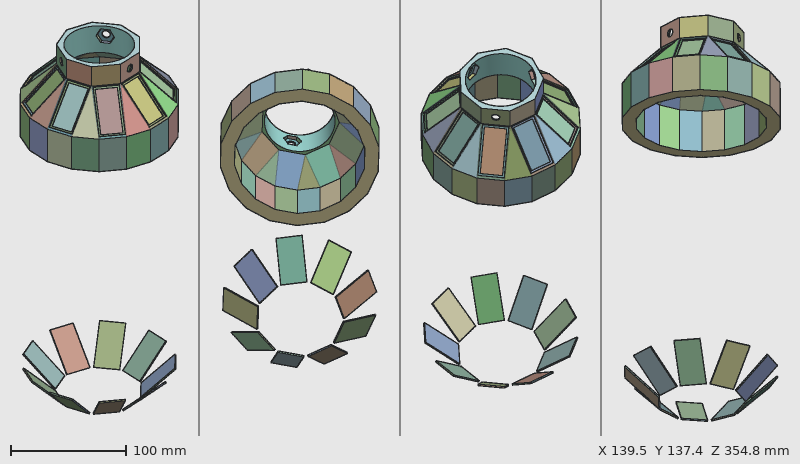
import cadquery as cq
import math

overall_height = 354.8
sides = 9
base_sides = 2 * sides
pitch = 360 / sides
first_panel_angle = -90.0

base_radius = 139.5 / 2
neck_radius = 37.3
base_height = 33.5
shoulder_height = 33.7
neck_height = 20.0
shoulder_top = base_height + shoulder_height
housing_height = shoulder_top + neck_height

bore_diameter = 61.5
bore_depth = 27.3
cavity_radius = 114.5 / 2
cavity_top_radius = 69.0 / 2
cavity_wall_height = 38.5
cavity_height = housing_height - bore_depth

screw_diameter = 7.0
screw_drop = 10.3
screw_count = 3
screw_angle = -10.0
nut_corner_diameter = 16.0
nut_seat_radius = 33.7

panel_width = 23.0
panel_length = 42.0
panel_thickness = 1.5

seat_length = 44.5
seat_rise = 0.7
ledge = 1.8
relief_depth = 0.7

base_flat = base_radius * math.cos(math.pi / base_sides)
neck_flat = neck_radius * math.cos(math.pi / sides)
slope_run = base_flat - neck_flat
slope_angle = math.degrees(math.atan2(shoulder_height, slope_run))
slope_middle_radius = (base_flat + neck_flat) / 2
slope_middle_height = base_height + shoulder_height / 2


def ring(count, radius, height):
    """Corners of a regular polygon whose corners lie half a panel side either side of -Y."""
    start = first_panel_angle - 180 / count
    angles = [math.radians(start + 360 / count * i) for i in range(count)]
    return [cq.Vector(radius * math.cos(a), radius * math.sin(a), height) for a in angles]


def prism(count, radius, bottom, height):
    corners = [(p.x, p.y) for p in ring(count, radius, 0)]
    return cq.Workplane("XY").workplane(offset=bottom).polyline(corners).close().extrude(height)


def polygon_face(corners):
    return cq.Face.makeFromWires(cq.Wire.makePolygon(corners, close=True))


def shoulder(low_radius, low_height, high_radius, high_height):
    """A flat slope below every top side, with a triangle between neighbouring slopes."""
    low = ring(base_sides, low_radius, low_height)
    high = ring(sides, high_radius, high_height)
    faces = [polygon_face(low), polygon_face(high)]
    for i in range(sides):
        left, right = low[2 * i], low[2 * i + 1]
        next_left = low[(2 * i + 2) % base_sides]
        next_high = high[(i + 1) % sides]
        faces.append(polygon_face([left, right, next_high, high[i]]))
        faces.append(polygon_face([right, next_left, next_high]))
    return cq.Workplane(cq.Solid.makeSolid(cq.Shell.makeShell(faces)))


def slope_block(width, length, depth, rise=0):
    """A flat block let into the slope that faces -Y, its outer face flush with the slope."""
    block = cq.Workplane("XY").box(width, length, depth, centered=(True, True, False))
    block = block.translate((0, rise, -depth)).rotate((0, 0, 0), (1, 0, 0), slope_angle)
    return block.translate((0, -slope_middle_radius, slope_middle_height))


def turned(body, angle):
    return body.rotate((0, 0, 0), (0, 0, 1), angle)


def cavity():
    upright = prism(base_sides, cavity_radius, 0, cavity_wall_height)
    ceiling = shoulder(cavity_radius, cavity_wall_height, cavity_top_radius, cavity_height)
    bore = cq.Workplane("XY").circle(bore_diameter / 2).extrude(housing_height)
    return upright.union(ceiling).union(bore)


def panel_seat():
    """A shallow seat for one panel, with a smaller relief pocket in its floor."""
    relief_width = panel_width - 2 * ledge
    relief_length = seat_length - 2 * ledge
    seat = slope_block(panel_width, seat_length, panel_thickness, seat_rise)
    relief = slope_block(relief_width, relief_length, panel_thickness + relief_depth, seat_rise)
    return seat.union(relief)


def screw_hole():
    """A screw hole along +X with a hexagonal nut pocket, flat side down, on the bore side."""
    axis = cq.Workplane("YZ").center(0, housing_height - screw_drop)
    pocket = axis.polygon(6, nut_corner_diameter).extrude(nut_seat_radius)
    return axis.circle(screw_diameter / 2).extrude(neck_radius).union(pocket)


def make_housing():
    body = prism(base_sides, base_radius, 0, base_height)
    body = body.union(shoulder(base_radius, base_height, neck_radius, shoulder_top))
    body = body.union(prism(sides, neck_radius, shoulder_top, neck_height))
    body = body.cut(cavity())
    for i in range(sides):
        body = body.cut(turned(panel_seat(), i * pitch))
    for i in range(screw_count):
        body = body.cut(turned(screw_hole(), screw_angle + 360 / screw_count * i))
    return body


def make_panel():
    """A panel sloping the other way from its seat, at the bottom of the arrangement."""
    panel = slope_block(panel_width, panel_length, panel_thickness)
    panel = panel.mirror("XY")
    drop = panel.val().BoundingBox().zmin
    return panel.translate((0, 0, housing_height - overall_height - drop))


housing = make_housing()
panels = [turned(make_panel(), i * pitch) for i in range(sides)]
result = cq.Compound.makeCompound([housing.val(), *[p.val() for p in panels]])